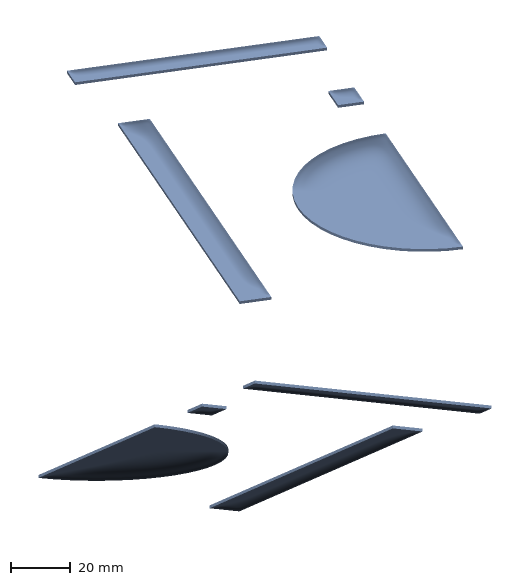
import cadquery as cq

TOTAL_LENGTH = 181.3
TOTAL_WIDTH = 88.3
THICKNESS = 1.0

LEFT = -TOTAL_LENGTH / 2
RIGHT = TOTAL_LENGTH / 2
BACK = TOTAL_WIDTH / 2
FRONT = -TOTAL_WIDTH / 2

SHORT_STRIP_WIDTH = 9.0

LONG_STRIP_LENGTH = 138.9
LONG_STRIP_WIDTH = 11.0
LONG_STRIP_FRONT_GAP = 4.9

TILE_LENGTH = LONG_STRIP_WIDTH
TILE_WIDTH = SHORT_STRIP_WIDTH
TILE_LEFT_GAP = 40.0

DISC_RADIUS = TOTAL_WIDTH / 2
DISC_CENTER_FROM_LEFT = 120.0


def make_plate(x_min, y_min, length, width):
    """Rectangular plate placed by its left front corner."""
    return cq.Workplane("XY").box(length, width, THICKNESS, centered=False).translate((x_min, y_min, 0))


def make_half_disc(center_x, center_y, radius):
    """Half-round plate with its straight edge facing +Y."""
    return (
        cq.Workplane("XY")
        .moveTo(center_x - radius, center_y)
        .threePointArc((center_x, center_y - radius), (center_x + radius, center_y))
        .close()
        .extrude(THICKNESS)
    )


short_strip = make_plate(LEFT, FRONT, SHORT_STRIP_WIDTH, TOTAL_WIDTH)
long_strip = make_plate(
    RIGHT - LONG_STRIP_LENGTH, FRONT + LONG_STRIP_FRONT_GAP, LONG_STRIP_LENGTH, LONG_STRIP_WIDTH
)
small_tile = make_plate(LEFT + TILE_LEFT_GAP, BACK - TILE_WIDTH, TILE_LENGTH, TILE_WIDTH)
half_disc = make_half_disc(LEFT + DISC_CENTER_FROM_LEFT, BACK, DISC_RADIUS)

result = cq.Compound.makeCompound(
    [short_strip.val(), long_strip.val(), small_tile.val(), half_disc.val()]
)